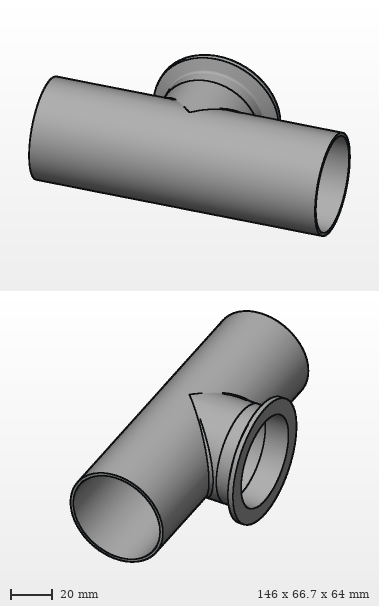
import cadquery as cq
import math

run_length = 146.0
pipe_diameter = 50.8
wall = 1.6
pipe_radius = pipe_diameter / 2
bore_radius = pipe_radius - wall
weld_chamfer = 1.5

face_height = 41.3
ferrule_length = 12.7
flange_radius = 64.0 / 2
rim_thickness = 2.8
cone_end_depth = 5.4
neck_fillet = 1.3

joint_height = face_height - ferrule_length


def run_cylinder(radius):
    return cq.Workplane("YZ").circle(radius).extrude(run_length / 2, both=True)


def branch_cylinder(radius):
    return cq.Workplane("XZ").circle(radius).extrude(-joint_height)


def weld_bevel(side):
    """Solid corner weld on the +X (side=1) or -X (side=-1) half of the joint.

    An elliptical cylinder, running square to the mitre plane, gives a bevel that is widest
    at the crotch and fades to nothing where the two pipes are tangent.  It is trimmed to
    the wedge between the bevel's two edge planes.
    """
    crotch_reach = (2 * pipe_radius + weld_chamfer) / math.sqrt(2)
    across_mitre = cq.Plane(origin=(0, 0, 0), xDir=(side, 1, 0), normal=(side, -1, 0))
    bevel = cq.Workplane(across_mitre).ellipse(crotch_reach, pipe_radius).extrude(pipe_radius, both=True)
    edge_reach = pipe_radius + weld_chamfer
    wedge = (
        cq.Workplane("XY")
        .polyline([
            (0, 0),
            (side * 2 * edge_reach, 2 * pipe_radius),
            (side * 2 * pipe_radius, 2 * edge_reach),
        ])
        .close()
        .extrude(pipe_diameter, both=True)
    )
    return bevel.intersect(wedge)


def make_tee():
    outside = run_cylinder(pipe_radius).union(branch_cylinder(pipe_radius))
    for side in (-1, 1):
        outside = outside.union(weld_bevel(side))
    return outside.cut(run_cylinder(bore_radius)).cut(branch_cylinder(bore_radius))


def make_ferrule():
    ferrule = (
        cq.Workplane("XY")
        .moveTo(bore_radius, joint_height)
        .lineTo(pipe_radius, joint_height)
        .lineTo(pipe_radius, face_height - cone_end_depth)
        .lineTo(flange_radius, face_height - rim_thickness)
        .lineTo(flange_radius, face_height)
        .lineTo(bore_radius, face_height)
        .close()
        .revolve(360, (0, 0, 0), (0, 1, 0))
    )
    neck_corner = cq.selectors.BoxSelector(
        (-flange_radius, face_height - cone_end_depth - wall / 2, -flange_radius),
        (flange_radius, face_height - cone_end_depth + wall / 2, flange_radius),
    )
    return ferrule.edges("%CIRCLE").edges(neck_corner).fillet(neck_fillet)


tee = make_tee()
ferrule = make_ferrule()

result = cq.Compound.makeCompound([tee.val(), ferrule.val()])